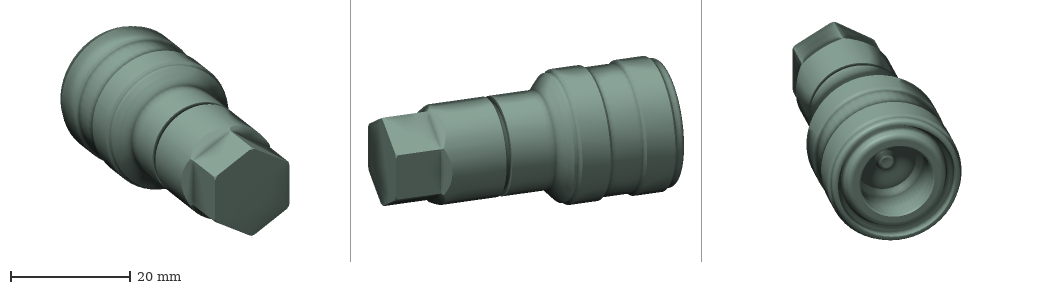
import cadquery as cq
import math

LENGTH = 50.0

BAND_RADIUS = 11.5
BARREL_RADIUS = 11.0
BAND_BEVEL = 0.5
BAND_SPANS = [(1.45, 7.45), (12.95, 18.95)]
FRONT_ROUND = 0.75
SHOULDER_START = 19.65
SHOULDER_MID_X = 20.5
SHOULDER_MID_RADIUS = 10.15
SHOULDER_END = 22.0

BODY_RADIUS = 8.5
GROOVE_RADIUS = 7.5
GROOVE_START = 29.85
GROOVE_WIDTH = 1.0

HEX_START = 42.0
HEX_ACROSS_FLATS = 14.0
RUNOUT_LENGTH = 2.0
END_CORNER_RADIUS = 7.8
END_BEVEL = 0.3

MOUTH_RADIUS = 10.1
CHANNEL_RADIUS = 9.1
CHANNEL_DEPTH = 2.5
MOUTH_DEPTH = 2.0
NOSE_RADIUS = 8.5
NOSE_ROUND = 1.0

SOCKET_RADIUS = 6.2
SOCKET_BEVEL = 0.25
SOCKET_DEPTH = 8.0
SEAT_RADIUS = 5.4
SEAT_LENGTH = 1.5
PIN_RADIUS = 1.75
PIN_TIP_RADIUS = 0.95
PIN_LENGTH = 1.5
PIN_STEP_RADIUS = 1.35
FLOOR_X = SOCKET_DEPTH + SEAT_LENGTH


def revolve_about_x(profile):
    """Turn a closed (x, radius) profile about the X axis."""
    return profile.close().revolve(360, (0, 0, 0), (1, 0, 0))


def make_outer_body():
    arc_inset = FRONT_ROUND * (1 - math.sqrt(0.5))
    profile = (
        cq.Workplane("XY")
        .lineTo(0, BARREL_RADIUS - FRONT_ROUND)
        .threePointArc((arc_inset, BARREL_RADIUS - arc_inset), (FRONT_ROUND, BARREL_RADIUS))
    )
    for start, end in BAND_SPANS:
        profile = (
            profile.lineTo(start, BARREL_RADIUS)
            .lineTo(start + BAND_BEVEL, BAND_RADIUS)
            .lineTo(end - BAND_BEVEL, BAND_RADIUS)
            .lineTo(end, BARREL_RADIUS)
        )
    profile = (
        profile.lineTo(SHOULDER_START, BARREL_RADIUS)
        .lineTo(SHOULDER_MID_X, SHOULDER_MID_RADIUS)
        .lineTo(SHOULDER_END, BODY_RADIUS)
        .lineTo(GROOVE_START, BODY_RADIUS)
        .lineTo(GROOVE_START, GROOVE_RADIUS)
        .lineTo(GROOVE_START + GROOVE_WIDTH, GROOVE_RADIUS)
        .lineTo(GROOVE_START + GROOVE_WIDTH, BODY_RADIUS)
        .lineTo(LENGTH - END_BEVEL, BODY_RADIUS)
        .lineTo(LENGTH - END_BEVEL, HEX_ACROSS_FLATS / math.sqrt(3))
        .lineTo(LENGTH, END_CORNER_RADIUS)
        .lineTo(LENGTH, 0)
    )
    return revolve_about_x(profile)


def make_flat_cutter():
    """Cut one flat, with a 45 degree run-out, on the +Y side."""
    flat_y = HEX_ACROSS_FLATS / 2
    outer_y = flat_y + RUNOUT_LENGTH
    return (
        cq.Workplane("XY")
        .moveTo(HEX_START, flat_y)
        .lineTo(LENGTH, flat_y)
        .lineTo(LENGTH, outer_y)
        .lineTo(HEX_START - RUNOUT_LENGTH, outer_y)
        .close()
        .extrude(BODY_RADIUS, both=True)
    )


def make_ring_groove():
    arc_inset = NOSE_ROUND * (1 - math.sqrt(0.5))
    profile = (
        cq.Workplane("XY")
        .moveTo(0, NOSE_RADIUS - NOSE_ROUND)
        .threePointArc((arc_inset, NOSE_RADIUS - arc_inset), (NOSE_ROUND, NOSE_RADIUS))
        .lineTo(CHANNEL_DEPTH, CHANNEL_RADIUS)
        .lineTo(MOUTH_DEPTH, MOUTH_RADIUS)
        .lineTo(0, MOUTH_RADIUS)
    )
    return revolve_about_x(profile)


def make_socket():
    """Socket space left around the stepped, conical valve pin."""
    pin_bevel = PIN_RADIUS - PIN_STEP_RADIUS
    tip_bevel = PIN_STEP_RADIUS - PIN_TIP_RADIUS
    pin_tip_x = FLOOR_X - PIN_LENGTH
    profile = (
        cq.Workplane("XY")
        .lineTo(0, SOCKET_RADIUS + SOCKET_BEVEL)
        .lineTo(SOCKET_BEVEL, SOCKET_RADIUS)
        .lineTo(SOCKET_DEPTH, SOCKET_RADIUS)
        .lineTo(FLOOR_X, SEAT_RADIUS)
        .lineTo(FLOOR_X, PIN_RADIUS)
        .lineTo(FLOOR_X - pin_bevel, PIN_STEP_RADIUS)
        .lineTo(pin_tip_x + tip_bevel, PIN_STEP_RADIUS)
        .lineTo(pin_tip_x, PIN_TIP_RADIUS)
        .lineTo(pin_tip_x, 0)
    )
    return revolve_about_x(profile)


result = make_outer_body()
flat_cutter = make_flat_cutter()
for side in range(6):
    result = result.cut(flat_cutter.rotate((0, 0, 0), (1, 0, 0), 60 * side))
result = result.cut(make_ring_groove()).cut(make_socket())